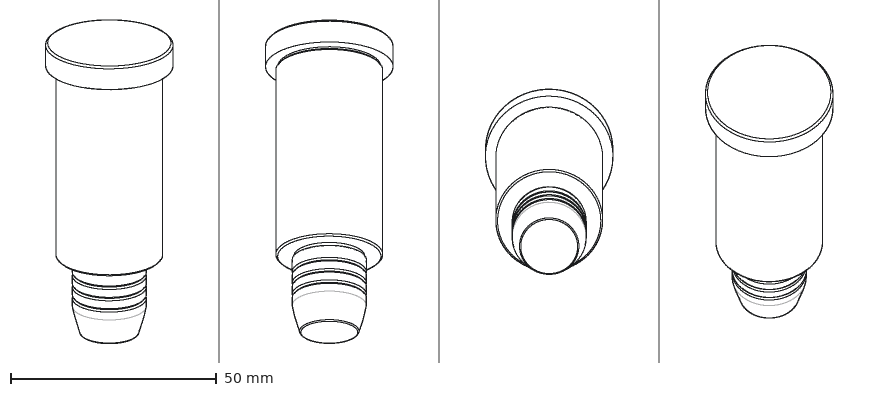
import cadquery as cq

total_length = 76.0
head_diameter = 31.0
head_height = 6.0
edge_chamfer = 0.5

body_diameter = 26.0
body_bottom = 20.1
undercut_depth = 0.45
undercut_height = 0.45

tip_diameter = 18.0
neck_diameter = 17.25
neck_bottom = 19.15
taper_top = 7.1
taper_end_diameter = 14.45
taper_bulge = 0.15
end_chamfer = 0.3

groove_depth = 0.45
groove_count = 3
groove_pitch = 3.0
top_groove_height = 15.5


def cylinder(diameter, bottom, top):
    return cq.Workplane("XY").workplane(offset=bottom).circle(diameter / 2).extrude(top - bottom)


def make_head():
    head = cylinder(head_diameter, total_length - head_height, total_length)
    return head.faces(">Z").edges().chamfer(edge_chamfer)


def make_body():
    head_bottom = total_length - head_height
    body_top = head_bottom - undercut_height
    body = cylinder(body_diameter, body_bottom, body_top).edges("%CIRCLE").chamfer(undercut_depth)
    undercut = cylinder(body_diameter - 2 * undercut_depth, body_top, head_bottom)
    return body.union(undercut)


def make_tip():
    """Revolve the grooved tip, whose tapered end is slightly convex."""
    tip_radius = tip_diameter / 2
    end_radius = taper_end_diameter / 2
    bulge_point = ((tip_radius + end_radius) / 2 + taper_bulge, (taper_top + end_chamfer) / 2)
    profile = (
        cq.Workplane("XZ")
        .lineTo(end_radius - end_chamfer, 0)
        .lineTo(end_radius, end_chamfer)
        .threePointArc(bulge_point, (tip_radius, taper_top))
    )
    for index in reversed(range(groove_count)):
        profile = add_groove(profile, tip_radius, top_groove_height - index * groove_pitch)
    profile = profile.lineTo(tip_radius, neck_bottom).lineTo(0, neck_bottom).close()
    return profile.revolve(360, (0, 0), (0, 1))


def add_groove(profile, radius, height):
    """Continue the profile upward through one V-groove with 45-degree flanks."""
    return (
        profile.lineTo(radius, height - groove_depth)
        .lineTo(radius - groove_depth, height)
        .lineTo(radius, height + groove_depth)
    )


neck = cylinder(neck_diameter, neck_bottom, body_bottom)
result = make_head().union(make_body()).union(neck).union(make_tip())